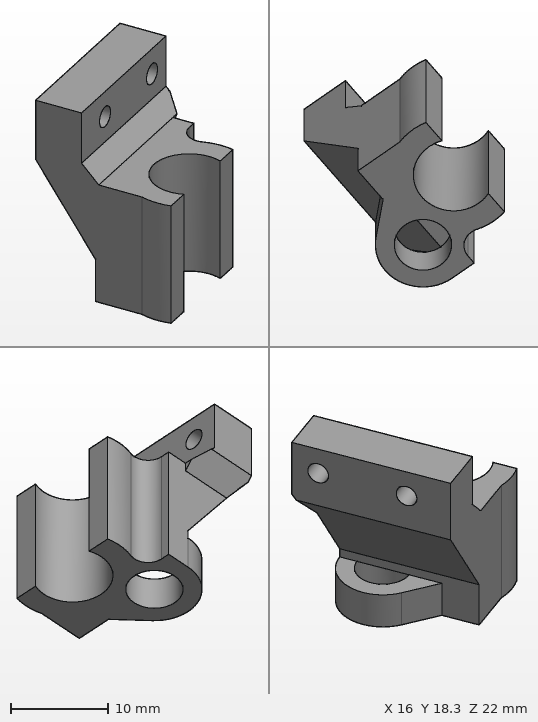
import cadquery as cq
import math

height = 22.0
length_x = 16.02
plate_width = 18.0
body_width = 15.8

plate_thickness = 5.41
plate_bottom_z = 14.95
body_left_x = 7.05
web_bottom_z = 5.02
body_top_z = 14.0
gusset_x = 7.44
gusset_height = gusset_x - plate_thickness

relief_top_z = 15.55
relief_bottom_z = 12.95

clamp_x = 14.52
clamp_y = 6.45
clamp_inner_radius = 4.15
clamp_outer_radius = 6.75
shoulder_x = 9.9
neck_radius = 1.98

lug_height = 4.0
lug_radius = 4.9
lug_hole_radius = 2.95
lug_x = body_left_x
lug_y = body_width - lug_radius
lug_flank_end_y = 4.22

screw_radius = 1.17
screw_z = 19.0
screw_first_y = 5.0
screw_spacing = 10.0


def cylinder(x, y, radius, depth):
    return cq.Workplane("XY").center(x, y).circle(radius).extrude(depth)


def make_side_profile():
    """Extrude the X-Z outline over the plate width and relieve the overhanging end."""
    outline = [
        (0, height),
        (plate_thickness, height),
        (plate_thickness, body_top_z + gusset_height),
        (gusset_x, body_top_z),
        (length_x, body_top_z),
        (length_x, 0),
        (body_left_x, 0),
        (body_left_x, web_bottom_z),
        (0, plate_bottom_z),
    ]
    profile = cq.Workplane("XZ").polyline(outline).close().extrude(-plate_width)
    end_outline = [
        (0, 0),
        (0, height),
        (plate_width, height),
        (plate_width, relief_top_z),
        (body_width, relief_bottom_z),
        (body_width, 0),
    ]
    end_limit = cq.Workplane("YZ").polyline(end_outline).close().extrude(length_x)
    return profile.intersect(end_limit)


def make_plan():
    """Plan outline: straight plate and shoulder, then a neck arc tangent to the clamp ring."""
    neck_x = shoulder_x + neck_radius
    center_distance = clamp_outer_radius + neck_radius
    neck_y = clamp_y + math.sqrt(center_distance**2 - (clamp_x - neck_x) ** 2)
    ring_share = clamp_outer_radius / center_distance
    tangent_x = clamp_x + (neck_x - clamp_x) * ring_share
    tangent_y = clamp_y + (neck_y - clamp_y) * ring_share
    front_x = clamp_x - math.sqrt(clamp_outer_radius**2 - clamp_y**2)
    end_rise = math.sqrt(clamp_outer_radius**2 - (length_x - clamp_x) ** 2)

    start_angle = math.pi
    end_angle = 2 * math.pi + math.atan2(tangent_y - neck_y, tangent_x - neck_x)
    mid_angle = (start_angle + end_angle) / 2
    neck_middle = (
        neck_x + neck_radius * math.cos(mid_angle),
        neck_y + neck_radius * math.sin(mid_angle),
    )
    return (
        cq.Workplane("XY")
        .moveTo(0, 0)
        .lineTo(front_x, 0)
        .threePointArc((clamp_x, clamp_y - clamp_outer_radius), (length_x, clamp_y - end_rise))
        .lineTo(length_x, clamp_y + end_rise)
        .threePointArc((clamp_x, clamp_y + clamp_outer_radius), (tangent_x, tangent_y))
        .threePointArc(neck_middle, (shoulder_x, neck_y))
        .lineTo(shoulder_x, body_width)
        .lineTo(gusset_x, body_width)
        .lineTo(gusset_x, plate_width)
        .lineTo(0, plate_width)
        .close()
        .extrude(height)
    )


def make_body():
    front_bulge = clamp_outer_radius - clamp_y
    side = make_side_profile()
    bulge_block = cq.Workplane("XY").box(
        length_x - shoulder_x, 2 * front_bulge, body_top_z, centered=(False, True, False)
    ).translate((shoulder_x, 0, 0))
    body = side.union(bulge_block).intersect(make_plan())
    return body.cut(cylinder(clamp_x, clamp_y, clamp_inner_radius, height))


def make_lug():
    """Round lug with a straight flank tangent to it, running into the body."""
    flank_drop = lug_y - lug_flank_end_y
    tangent_angle = -math.pi / 2 - math.acos(lug_radius / flank_drop)
    tangent_x = lug_x + lug_radius * math.cos(tangent_angle)
    tangent_y = lug_y + lug_radius * math.sin(tangent_angle)
    return (
        cq.Workplane("XY")
        .moveTo(lug_x, lug_flank_end_y)
        .lineTo(tangent_x, tangent_y)
        .threePointArc((lug_x - lug_radius, lug_y), (lug_x, body_width))
        .close()
        .extrude(lug_height)
    )


def make_screw_holes():
    centers = [(screw_first_y + i * screw_spacing, screw_z) for i in range(2)]
    return cq.Workplane("YZ").pushPoints(centers).circle(screw_radius).extrude(plate_thickness)


result = (
    make_body()
    .union(make_lug())
    .cut(cylinder(lug_x, lug_y, lug_hole_radius, lug_height))
    .cut(make_screw_holes())
)